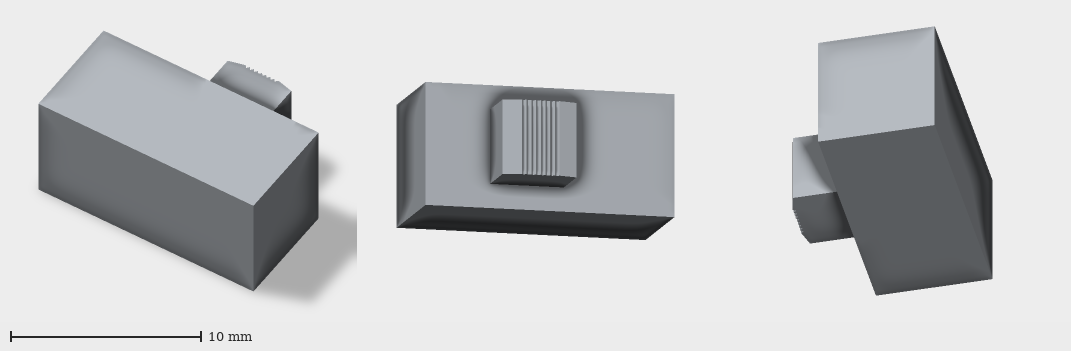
import cadquery as cq

body_length = 13.5
body_depth = 6.3
body_height = 6.6

knob_width = 4.0
knob_height = 4.0
knob_reach = 3.0
knob_offset = 1.25

shoulder_drop = 0.25
groove_count = 8
groove_pitch = 0.257
groove_depth = 0.16

knob_tip_y = body_depth + knob_reach
shoulder_y = knob_tip_y - shoulder_drop
knob_left = knob_offset - knob_width / 2
knob_right = knob_offset + knob_width / 2
grip_left = knob_offset - groove_count * groove_pitch / 2


def make_body():
    return cq.Workplane("XY").box(
        body_length, body_depth, body_height, centered=(True, False, True)
    )


def make_knob():
    """Knob outline in XY with a serrated tip, extruded evenly about Z = 0."""
    outline = [
        (knob_right, body_depth),
        (knob_left, body_depth),
        (knob_left, shoulder_y),
        (grip_left, knob_tip_y),
    ]
    for index in range(groove_count):
        groove_start = grip_left + index * groove_pitch
        outline.append((groove_start + groove_pitch / 2, knob_tip_y - groove_depth))
        outline.append((groove_start + groove_pitch, knob_tip_y))
    outline.append((knob_right, shoulder_y))
    return cq.Workplane("XY").polyline(outline).close().extrude(knob_height / 2, both=True)


result = make_body().union(make_knob())